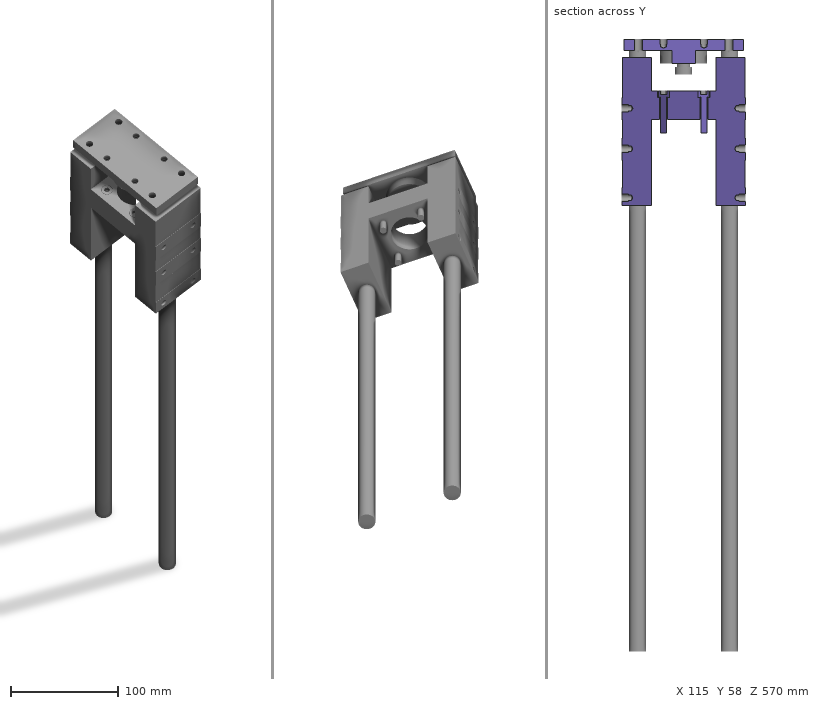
import cadquery as cq

total_height = 570.0

pattern_offset = 19.0

plate_x = 112.0
plate_y = 53.5
plate_thickness = 11.0
plate_clearance_offset = 42.0
rod_diameter = 16.0
rod_offset = 43.0
disc_diameter = 44.0
disc_height = 12.0
neck_diameter = 12.5
neck_height = 3.5
stud_diameter = 16.0
stud_height = 7.0

thread_diameter = 6.0
core_diameter = 4.9
tip_height = 1.4
plate_thread_depth = 4.5
plate_core_depth = 7.0
side_thread_depth = 5.5
side_core_depth = 8.5

housing_x = 115.0
housing_y = 58.0
housing_height = 138.0
housing_gap = 6.0
leg_width = 28.0
upper_slot_depth = 31.0
web_thickness = 27.5
web_bore_diameter = 35.0
pad_relief = 0.3
pad_height = 20.5
upper_pad_drop = 37.5
middle_pad_drop = 75.0
lower_pad_drop = 121.5
side_hole_drops = [47.5, 85.0, 130.5]

bolt_shank_diameter = 6.0
bolt_head_diameter = 10.0
bolt_head_height = 6.0
bolt_projection = 12.5
socket_corner_diameter = 5.5
socket_depth = 3.5
hex_sides = 6
clearance_diameter = 7.0
counterbore_diameter = 11.0

housing_top = -plate_thickness - housing_gap
web_top = housing_top - upper_slot_depth
web_bottom = web_top - web_thickness
bolt_seat = web_top - bolt_head_height
slot_x = housing_x - 2 * leg_width
rod_points = [(-rod_offset, 0), (rod_offset, 0)]


def corner_points(offset_x, offset_y):
    """Four points at the corners of a centred rectangle."""
    return [(x, y) for x in (-offset_x, offset_x) for y in (-offset_y, offset_y)]


bolt_points = corner_points(pattern_offset, pattern_offset)
plate_clearance_points = corner_points(plate_clearance_offset, pattern_offset)


def cylinders(top, height, diameter, points=((0, 0),)):
    """Vertical cylinders hanging down from the given height."""
    return cq.Workplane("XY", origin=(0, 0, top)).pushPoints(points).circle(diameter / 2).extrude(-height)


def block(size_x, size_y, height, top, x=0):
    """Rectangular block hanging down from the given height."""
    return cq.Workplane("XY", origin=(x, 0, top)).rect(size_x, size_y).extrude(-height)


def tapped_hole(mouth, direction, thread_depth, core_depth):
    """Cutting tool for a tapped hole, turned about its own axis."""
    thread_radius = thread_diameter / 2
    core_radius = core_diameter / 2
    outline = [
        (0, 0),
        (thread_radius, 0),
        (thread_radius, thread_depth),
        (core_radius, thread_depth),
        (core_radius, core_depth),
        (0, core_depth + tip_height),
    ]
    across = (0, 1, 0)
    plane = cq.Plane(origin=mouth, xDir=across, normal=cq.Vector(*across).cross(cq.Vector(*direction)))
    return cq.Workplane(plane).polyline(outline).close().revolve(360, (0, 0), (0, 1))


def make_plate():
    plate = block(plate_x, plate_y, plate_thickness, 0)
    plate = plate.cut(cylinders(0, plate_thickness, clearance_diameter, plate_clearance_points))
    for x, y in bolt_points:
        plate = plate.cut(tapped_hole((x, y, 0), (0, 0, -1), plate_thread_depth, plate_core_depth))
    return plate


def make_coupling():
    neck_top = -plate_thickness - disc_height
    stud_top = neck_top - neck_height
    disc = cylinders(-plate_thickness, disc_height, disc_diameter)
    neck = cylinders(neck_top, neck_height, neck_diameter)
    stud = cylinders(stud_top, stud_height, stud_diameter)
    return disc.union(neck).union(stud)


def make_carriage():
    rods = cylinders(-plate_thickness, total_height - plate_thickness, rod_diameter, rod_points)
    return make_plate().union(rods).union(make_coupling())


def make_h_block():
    lower_slot_depth = housing_height - upper_slot_depth - web_thickness
    body = block(housing_x - 2 * pad_relief, housing_y, housing_height, housing_top)
    body = body.cut(block(slot_x, housing_y, upper_slot_depth, housing_top))
    return body.cut(block(slot_x, housing_y, lower_slot_depth, web_bottom))


def add_pads(body):
    """Raised full-width pads on both end faces; the lowest ends at the foot of the leg."""
    pads = [
        (upper_pad_drop, pad_height),
        (middle_pad_drop, pad_height),
        (lower_pad_drop, housing_height - lower_pad_drop),
    ]
    pad_x = (housing_x - pad_relief) / 2
    for x in (-pad_x, pad_x):
        for drop, height in pads:
            body = body.union(block(pad_relief, housing_y, height, housing_top - drop, x))
    return body


def cut_side_holes(body):
    """Tapped holes through the pads, in pairs on both end faces."""
    for side in (-1, 1):
        for drop in side_hole_drops:
            for y in (-pattern_offset, pattern_offset):
                mouth = (side * housing_x / 2, y, housing_top - drop)
                body = body.cut(tapped_hole(mouth, (-side, 0, 0), side_thread_depth, side_core_depth))
    return body


def make_housing():
    body = cut_side_holes(add_pads(make_h_block()))
    body = body.cut(cylinders(housing_top, housing_height, rod_diameter, rod_points))
    body = body.cut(cylinders(web_top, web_thickness, web_bore_diameter))
    body = body.cut(cylinders(web_top, web_thickness, clearance_diameter, bolt_points))
    return body.cut(cylinders(web_top, bolt_head_height, counterbore_diameter, bolt_points))


def make_bolt(x, y):
    """Bolt whose head sits flush in the counterbore of the web."""
    shank_length = bolt_seat - web_bottom + bolt_projection
    head = cylinders(web_top, bolt_head_height, bolt_head_diameter, [(x, y)])
    shank = cylinders(bolt_seat, shank_length, bolt_shank_diameter, [(x, y)])
    socket = cq.Workplane("XY", origin=(x, y, web_top)).polygon(hex_sides, socket_corner_diameter)
    return head.union(shank).cut(socket.extrude(-socket_depth))


carriage = make_carriage()
housing = make_housing()
bolts = [make_bolt(x, y) for x, y in bolt_points]

result = cq.Compound.makeCompound([carriage.val(), housing.val(), *[bolt.val() for bolt in bolts]])